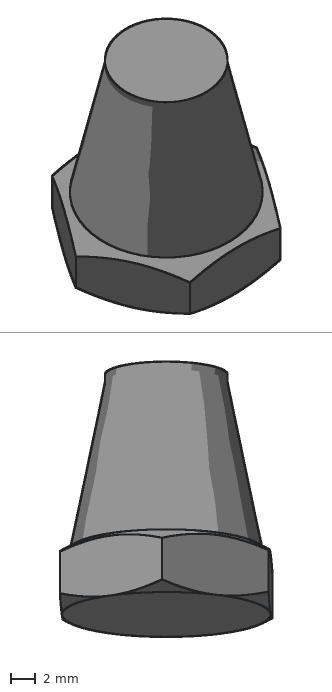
import cadquery as cq
import math

total_height = 20.0
across_flats = 17.0
hex_flat_height = 5.0
chamfer_angle = 30.0
cone_base_diameter = 15.7
tip_diameter = 10.0
tip_height = 0.65

flat_radius = across_flats / 2
corner_radius = flat_radius / math.cos(math.radians(30))
cone_base_radius = cone_base_diameter / 2
tip_radius = tip_diameter / 2
chamfer_slope = math.tan(math.radians(chamfer_angle))
corner_drop = (corner_radius - flat_radius) * chamfer_slope
cone_base_z = hex_flat_height + (flat_radius - cone_base_radius) * chamfer_slope
cone_top_z = total_height - tip_height


def hex_prism():
    """Hexagonal bar with flats facing +X and -X and corners on the Y axis."""
    return (
        cq.Workplane("XY")
        .polygon(6, 2 * corner_radius)
        .extrude(total_height)
        .rotate((0, 0, 0), (0, 0, 1), 30)
    )


def turned_body():
    """Revolved envelope: chamfered base, tapered cone and cylindrical tip."""
    return (
        cq.Workplane("XZ")
        .moveTo(0, 0)
        .lineTo(flat_radius, 0)
        .lineTo(corner_radius, corner_drop)
        .lineTo(corner_radius, hex_flat_height - corner_drop)
        .lineTo(cone_base_radius, cone_base_z)
        .lineTo(tip_radius, cone_top_z)
        .lineTo(tip_radius, total_height)
        .lineTo(0, total_height)
        .close()
        .revolve(360, (0, 0, 0), (0, 1, 0))
    )


result = turned_body().intersect(hex_prism())